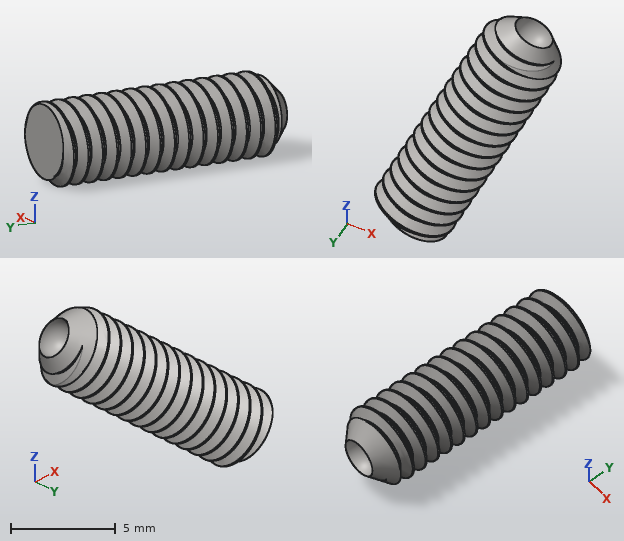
import cadquery as cq
import math

length = 12.7
crest_radius = 2.08
pitch = 0.794
thread_depth = 0.52
flank_half_angle = math.radians(30)
crest_flat = pitch / 8
root_radius = crest_radius - thread_depth
crest_height_at_x = 1.64

rim_radius = 1.0

ridge_embed = 0.03
end_overrun = 2
trim_clearance = 0.25


def thread_ridge():
    """Right-handed trapezoidal ridge around Z, longer than the screw."""
    start = crest_height_at_x - (math.ceil(crest_height_at_x / pitch) + end_overrun) * pitch
    turns = math.ceil((length - start) / pitch) + end_overrun
    inner_radius = root_radius - ridge_embed
    half_crest = crest_flat / 2
    half_base = half_crest + (crest_radius - inner_radius) * math.tan(flank_half_angle)
    helix = cq.Wire.makeHelix(pitch, turns * pitch, root_radius)
    ridge = (
        cq.Workplane("XZ")
        .polyline([
            (inner_radius, -half_base),
            (crest_radius, -half_crest),
            (crest_radius, half_crest),
            (inner_radius, half_base),
        ])
        .close()
        .sweep(cq.Workplane(obj=helix), isFrenet=True)
    )
    return ridge.translate((0, 0, start))


def pointed_envelope():
    """Trimming volume: flat far end and a 45 degree cone at the cup end."""
    outer_radius = crest_radius + trim_clearance
    return (
        cq.Workplane("XZ")
        .polyline([
            (0, 0),
            (rim_radius, 0),
            (outer_radius, outer_radius - rim_radius),
            (outer_radius, length),
            (0, length),
        ])
        .close()
        .revolve(360, (0, 0), (0, 1))
    )


def cup():
    """Hemispherical recess whose edge is the rim of the point."""
    return cq.Workplane("XY").sphere(rim_radius)


core = cq.Workplane("XY").circle(root_radius).extrude(length)
envelope = pointed_envelope()
screw = core.intersect(envelope).union(thread_ridge().intersect(envelope)).cut(cup())

result = screw.rotate((0, 0, 0), (1, 0, 0), -90)